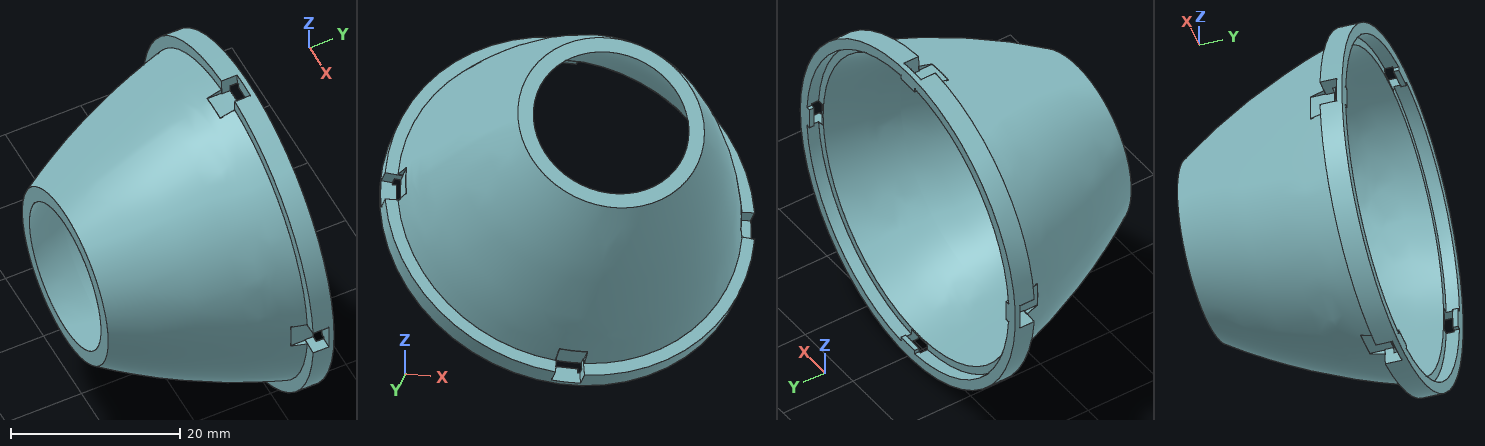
import cadquery as cq
import math

length = 24.3

flange_radius = 22.5
flange_thickness = 2.75
shell_wide_radius = 20.95
shell_mid_radius = 17.25
shell_mid_depth = 13.25
shell_narrow_radius = 11.33

bore_radius = 9.43
cavity_mid_radius = 17.25
cavity_mid_depth = 10.8
cavity_wide_radius = 20.1
recess_radius = 21.12
recess_depth = 1.65

narrow_band_depth = 18.6
band_depths = [cavity_mid_depth, narrow_band_depth]

notch_count = 4
notch_angles = [index * 360 / notch_count for index in range(notch_count)]
flange_notch_angle = 9.0
shell_notch_angle = 9.6
notch_floor_radius = 20.35
notch_start_depth = 0.68
notch_end_depth = 4.65
notch_overshoot = 1.0
notch_outer_radius = flange_radius + notch_overshoot

tab_width = 2.85
tab_inner_radius = 20.55
tab_overlap = 0.5


def circle_through(p, q, r):
    """Centre and radius of the circle through three (radius, y) points."""
    (ax, ay), (bx, by), (cx, cy) = p, q, r
    a2, b2, c2 = ax**2 + ay**2, bx**2 + by**2, cx**2 + cy**2
    d = 2 * (ax * (by - cy) + bx * (cy - ay) + cx * (ay - by))
    x = (a2 * (by - cy) + b2 * (cy - ay) + c2 * (ay - by)) / d
    y = (a2 * (cx - bx) + b2 * (ax - cx) + c2 * (bx - ax)) / d
    return x, y, math.hypot(ax - x, ay - y)


def cavity_point(depth):
    """Point of the cavity profile arc at a depth below the rim."""
    x, y, radius = circle_through(
        (cavity_wide_radius, -recess_depth),
        (cavity_mid_radius, -cavity_mid_depth),
        (bore_radius, -length),
    )
    return x + math.sqrt(radius**2 - (-depth - y) ** 2), -depth


def make_body():
    """Revolve the wall section between the outer shell and the cavity."""
    profile = (
        cq.Workplane("XY")
        .moveTo(cavity_wide_radius, 0)
        .lineTo(flange_radius, 0)
        .lineTo(flange_radius, -flange_thickness)
        .lineTo(shell_wide_radius, -flange_thickness)
        .threePointArc((shell_mid_radius, -shell_mid_depth), (shell_narrow_radius, -length))
        .lineTo(bore_radius, -length)
    )
    depth = length
    for next_depth in sorted([recess_depth] + band_depths, reverse=True):
        profile = profile.threePointArc(cavity_point((depth + next_depth) / 2), cavity_point(next_depth))
        depth = next_depth
    return profile.close().revolve(360, (0, 0, 0), (0, 1, 0))


def make_wedge(start_depth, end_depth, width_angle):
    """Wedge with radial sides and a cylindrical floor, centred on +X."""
    return (
        cq.Workplane("XY")
        .moveTo(notch_floor_radius, -start_depth)
        .lineTo(notch_outer_radius, -start_depth)
        .lineTo(notch_outer_radius, -end_depth)
        .lineTo(notch_floor_radius, -end_depth)
        .close()
        .revolve(width_angle, (0, 0, 0), (0, 1, 0))
        .rotate((0, 0, 0), (0, 1, 0), -width_angle / 2)
    )


def make_notch():
    """Notch through the flange that continues, slightly wider, into the shell."""
    flange_part = make_wedge(notch_start_depth, flange_thickness, flange_notch_angle)
    shell_part = make_wedge(flange_thickness, notch_end_depth, shell_notch_angle)
    return flange_part.union(shell_part)


def make_recess():
    """Shallow disc behind the cavity, interrupted where the tabs reach inward."""
    recess = cq.Workplane("XZ").circle(recess_radius).extrude(recess_depth)
    tab_length = recess_radius + tab_overlap - tab_inner_radius
    tab = (
        cq.Workplane("XY")
        .box(tab_length, recess_depth, tab_width)
        .translate((tab_inner_radius + tab_length / 2, -recess_depth / 2, 0))
    )
    for angle in notch_angles:
        recess = recess.cut(tab.rotate((0, 0, 0), (0, 1, 0), angle))
    return recess


result = make_body().cut(make_recess(), clean=False)
for angle in notch_angles:
    result = result.cut(make_notch().rotate((0, 0, 0), (0, 1, 0), angle), clean=False)